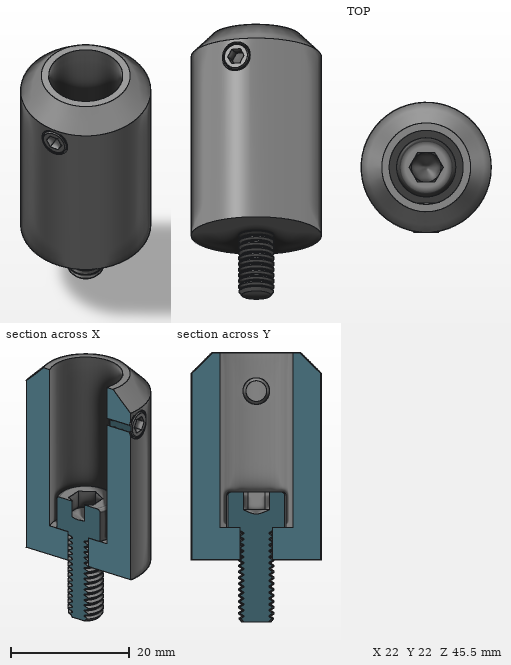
import cadquery as cq
import math

housing_diameter = 22.0
housing_height = 35.0
taper = 3.5
bore_diameter = 12.5
floor_thickness = 5.5

bolt_diameter = 6.0
bolt_length = 16.0
bolt_pitch = 1.0
bolt_thread_depth = 0.5
bolt_crest_width = bolt_pitch / 5
bolt_root_width = bolt_pitch / 8
bolt_tip_diameter = 4.9
bolt_tip_chamfer_height = 0.7
bolt_head_diameter = 10.0
bolt_head_height = 6.0
bolt_head_fillet = 0.6
bolt_hex_flats = 5.0
bolt_hex_depth = 3.0
bolt_drill_angle = 120.0

set_screw_diameter = 4.5
set_screw_length = 5.0
set_screw_drop = 6.5
set_screw_face_diameter = 4.1
set_screw_tip_diameter = 3.5
set_screw_hex_flats = 2.5
set_screw_hex_depth = 2.5
countersink_diameter = 5.0
countersink_start = 0.25

housing_radius = housing_diameter / 2
set_screw_z = housing_height - set_screw_drop
bolt_tip_z = floor_thickness - bolt_length
bolt_head_top_z = floor_thickness + bolt_head_height


def hex_corner_diameter(across_flats):
    return across_flats / math.cos(math.pi / 6)


def revolve_about_z(points):
    """Turn a closed (radius, z) outline around the Z axis."""
    outline = cq.Workplane("XZ").polyline(points).close()
    return outline.revolve(360, (0, 0, 0), (0, 1, 0))


def turn_to_set_screw_axis(body):
    """Carry a body built along +Z from the origin to the set screw hole, pointing to +Y."""
    turned = body.rotate((0, 0, 0), (1, 0, 0), -90)
    return turned.translate((0, -housing_radius, set_screw_z))


def make_housing():
    body = cq.Workplane("XY").circle(housing_radius).extrude(housing_height)
    body = body.faces(">Z").chamfer(taper)

    bore_depth = housing_height - floor_thickness
    bore = cq.Workplane("XY", origin=(0, 0, floor_thickness))
    bore = bore.circle(bore_diameter / 2).extrude(bore_depth)
    bolt_hole = cq.Workplane("XY").circle(bolt_diameter / 2).extrude(floor_thickness)

    hole_radius = set_screw_diameter / 2
    countersink_depth = countersink_diameter / 2 - hole_radius
    screw_hole = revolve_about_z([
        (0, 0),
        (countersink_diameter / 2, 0),
        (countersink_diameter / 2, countersink_start),
        (hole_radius, countersink_start + countersink_depth),
        (hole_radius, housing_radius),
        (0, housing_radius),
    ])
    return body.cut(bore).cut(bolt_hole).cut(turn_to_set_screw_axis(screw_hole))


def make_bolt():
    bolt_radius = bolt_diameter / 2
    tip_radius = bolt_tip_diameter / 2
    bolt = revolve_about_z([
        (0, bolt_tip_z),
        (tip_radius, bolt_tip_z),
        (bolt_radius, bolt_tip_z + bolt_tip_chamfer_height),
        (bolt_radius, floor_thickness),
        (0, floor_thickness),
    ])

    root_radius = bolt_radius - bolt_thread_depth
    groove_half_width = (bolt_pitch - bolt_crest_width) / 2
    root_half_width = bolt_root_width / 2
    groove_count = round(bolt_length / bolt_pitch) - 1
    for index in range(groove_count):
        groove_z = bolt_tip_z + (index + 1) * bolt_pitch
        bolt = bolt.cut(revolve_about_z([
            (bolt_radius, groove_z - groove_half_width),
            (root_radius, groove_z - root_half_width),
            (root_radius, groove_z + root_half_width),
            (bolt_radius, groove_z + groove_half_width),
        ]))

    head = cq.Workplane("XY", origin=(0, 0, floor_thickness)).circle(bolt_head_diameter / 2)
    head = head.extrude(bolt_head_height).faces(">Z").edges().fillet(bolt_head_fillet)

    socket_floor_z = bolt_head_top_z - bolt_hex_depth
    socket = cq.Workplane("XY", origin=(0, 0, socket_floor_z))
    socket = socket.polygon(6, hex_corner_diameter(bolt_hex_flats)).extrude(bolt_hex_depth)
    drill_radius = bolt_hex_flats / 2
    drill_depth = drill_radius / math.tan(math.radians(bolt_drill_angle / 2))
    drill_point = revolve_about_z([
        (0, socket_floor_z - drill_depth),
        (drill_radius, socket_floor_z),
        (0, socket_floor_z),
    ])
    return bolt.union(head).cut(socket).cut(drill_point)


def make_set_screw():
    screw_radius = set_screw_diameter / 2
    face_radius = set_screw_face_diameter / 2
    tip_radius = set_screw_tip_diameter / 2
    screw = revolve_about_z([
        (0, 0),
        (face_radius, 0),
        (screw_radius, screw_radius - face_radius),
        (screw_radius, set_screw_length - (screw_radius - tip_radius)),
        (tip_radius, set_screw_length),
        (0, set_screw_length),
    ])
    socket = cq.Workplane("XY").polygon(6, hex_corner_diameter(set_screw_hex_flats))
    socket = socket.extrude(set_screw_hex_depth)
    return turn_to_set_screw_axis(screw.cut(socket))


housing = make_housing()
bolt = make_bolt()
set_screw = make_set_screw()

result = cq.Compound.makeCompound([housing.val(), bolt.val(), set_screw.val()])